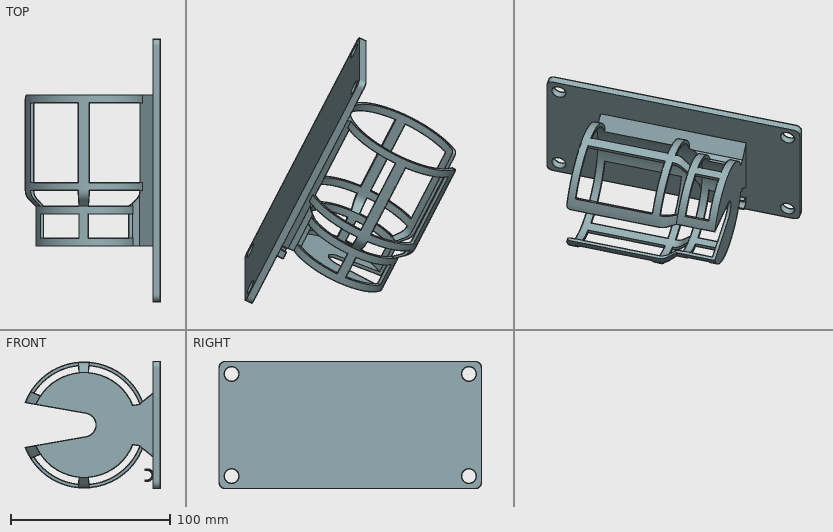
import cadquery as cq
import math


plate_length = 165.0
plate_height = 80.0
plate_thickness = 4.6
plate_front_x = 43.2
plate_corner_radius = 4.0
hole_diameter = 9.0
hole_inset = 8.0

large_radius = 39.6
small_radius = 33.0
wall = 2.1
holder_length = 95.0
large_length = 60.0
shoulder_length = 9.9
shoulder_angle = 45.0
band_width = 5.0
disc_thickness = 2.1
lip_corner_radius = 3.0

open_end_y = holder_length / 2
shoulder_start_y = open_end_y - large_length
shoulder_end_y = shoulder_start_y - shoulder_length
closed_end_y = -holder_length / 2

mouth_radius = 7.5
mouth_flare_angle = 10.0

rib_half_width_small = 2.72
rib_half_width_large = 3.3
lip_bar_small = (-27.4, 18.3)
lip_bar_large = (-32.8, 20.6)
window_corner_radius = 0.8

shelf_inner = (27.9, 13.2)
shelf_middle = (30.5, 12.4)
shelf_outer = (34.6, 13.0)
bracket_half_height = 20.0

clip_radius = 4.0
clip_strip = 1.0
clip_center_x = 39.6
clip_center_z = -31.5
clip_arm = 1.5

reach = 2 * large_radius


def extrude_y(outline, y_start, y_end):
    """Prism over a closed XZ outline, from y_start down to y_end."""
    return (
        cq.Workplane("XZ", origin=(0, y_start, 0))
        .polyline(outline)
        .close()
        .extrude(y_start - y_end)
    )


def mirrored(body):
    """The body together with its mirror image below Z = 0."""
    return body.union(body.mirror("XY"))


def revolved_holder(inset, end_y):
    """Solid of revolution with every radius reduced by inset, ending at end_y."""
    slope = math.radians(shoulder_angle)
    slope_run = (large_radius - small_radius) / math.tan(slope)
    bend_radius = (shoulder_length - slope_run) / math.tan(slope / 2)
    large_r = large_radius - inset
    small_r = small_radius - inset

    def bend_point(angle):
        return (
            large_r - bend_radius * (1 - math.cos(angle)),
            shoulder_start_y - bend_radius * math.sin(angle),
        )

    return (
        cq.Workplane("XY")
        .moveTo(0, open_end_y)
        .lineTo(large_r, open_end_y)
        .lineTo(large_r, shoulder_start_y)
        .threePointArc(bend_point(slope / 2), bend_point(slope))
        .lineTo(small_r, shoulder_end_y)
        .lineTo(small_r, end_y)
        .lineTo(0, end_y)
        .close()
        .revolve(360, (0, 0, 0), (0, 1, 0))
        .rotate((0, 0, 0), (0, 1, 0), 180)
    )


def line_at_x(p, q, x):
    """Point at station x on the straight line through p and q."""
    return (x, p[1] + (q[1] - p[1]) * (x - p[0]) / (q[0] - p[0]))


def line_at_z(p, q, z):
    """Point at height z on the straight line through p and q."""
    return (p[0] + (q[0] - p[0]) * (z - p[1]) / (q[1] - p[1]), z)


def make_window(y_start, y_end, corner_radius=0):
    """Cutters on both sides of the upper and lower ribs, from y_start down to y_end.

    A corner radius rounds the window corners at the lip bar.
    """
    rib_small = (rib_half_width_small, small_radius)
    rib_large = (rib_half_width_large, large_radius)
    rib_inner = line_at_z(rib_small, rib_large, small_radius / 2)
    rib_outer = line_at_z(rib_small, rib_large, reach)
    lip_inner = line_at_x(lip_bar_small, lip_bar_large, -rib_inner[0])
    lip_outer = line_at_x(lip_bar_small, lip_bar_large, -reach)
    mouth_side = extrude_y(
        [lip_inner, lip_outer, (-reach, reach), (-rib_outer[0], reach)], y_start, y_end
    )
    buried_edge = (reach, mouth_radius / 2)
    plate_side = extrude_y(
        [rib_inner, rib_outer, (reach, reach), buried_edge], y_start, y_end
    )
    if corner_radius:
        across_lip = (lip_outer[0] - lip_inner[0], 0, lip_outer[1] - lip_inner[1])
        along_lip = cq.selectors.ParallelDirSelector(cq.Vector(*across_lip))
        mouth_side = mouth_side.edges(along_lip).fillet(corner_radius)
    return mirrored(mouth_side.union(plate_side))


def make_mouth():
    """Flared slot cutter, tangent to its round end."""
    flare = math.radians(mouth_flare_angle)
    tangent = (mouth_radius * math.sin(flare), mouth_radius * math.cos(flare))
    mouth_half_height = tangent[1] + (reach + tangent[0]) * math.tan(flare)
    return (
        cq.Workplane("XZ", origin=(0, open_end_y, 0))
        .moveTo(-reach, -mouth_half_height)
        .lineTo(tangent[0], -tangent[1])
        .threePointArc((mouth_radius, 0), tangent)
        .lineTo(-reach, mouth_half_height)
        .close()
        .extrude(holder_length)
    )


def make_plate():
    """Rounded plate with a screw hole near each corner."""
    return (
        cq.Workplane("YZ", origin=(plate_front_x, 0, 0))
        .rect(plate_length, plate_height)
        .extrude(plate_thickness)
        .edges("|X")
        .fillet(plate_corner_radius)
        .faces("<X")
        .workplane(centerOption="CenterOfBoundBox")
        .rect(plate_length - 2 * hole_inset, plate_height - 2 * hole_inset, forConstruction=True)
        .vertices()
        .hole(hole_diameter)
    )


def make_bracket():
    """Bracket prism reaching in to the holder axis, before the cavity is cleared."""
    plate_joint = (plate_front_x, bracket_half_height)
    upper = [(0, shelf_inner[1]), shelf_inner, shelf_middle, shelf_outer, plate_joint]
    lower = [(x, -z) for x, z in reversed(upper)]
    return extrude_y(upper + lower, open_end_y, closed_end_y)


def make_clip():
    """Clip level with the band at the closed end, its back sunk into the plate."""
    inner_radius = clip_radius - clip_strip
    arm_end_x = clip_center_x - clip_arm
    top = clip_center_z + clip_radius
    bottom = clip_center_z - clip_radius
    return (
        cq.Workplane("XZ", origin=(0, closed_end_y + band_width, 0))
        .moveTo(arm_end_x, top)
        .lineTo(clip_center_x, top)
        .threePointArc((clip_center_x + clip_radius, clip_center_z), (clip_center_x, bottom))
        .lineTo(arm_end_x, bottom)
        .lineTo(arm_end_x, bottom + clip_strip)
        .lineTo(clip_center_x, bottom + clip_strip)
        .threePointArc(
            (clip_center_x + inner_radius, clip_center_z), (clip_center_x, top - clip_strip)
        )
        .lineTo(arm_end_x, top - clip_strip)
        .close()
        .extrude(band_width)
    )


def round_lip_corners(body):
    """Round the two corners of the shell between its open end and the mouth."""
    corners = cq.selectors.BoxSelector(
        (-reach, open_end_y - wall, -large_radius / 2),
        (-small_radius, open_end_y + wall, large_radius / 2),
    )
    return body.edges(corners).fillet(lip_corner_radius)


cavity = revolved_holder(wall, closed_end_y + disc_thickness)
large_window = make_window(
    open_end_y - band_width, shoulder_start_y + band_width, window_corner_radius
)
shoulder_window = make_window(shoulder_start_y, shoulder_end_y)
small_window = make_window(shoulder_end_y - band_width, closed_end_y + band_width)
mouth = make_mouth()

shell = revolved_holder(0, closed_end_y).cut(cavity)
for cutter in (large_window, shoulder_window, small_window, mouth):
    shell = shell.cut(cutter)
shell = round_lip_corners(shell)

bracket = make_bracket().cut(cavity).cut(mouth)

result = make_plate().union(shell).union(bracket).union(make_clip())